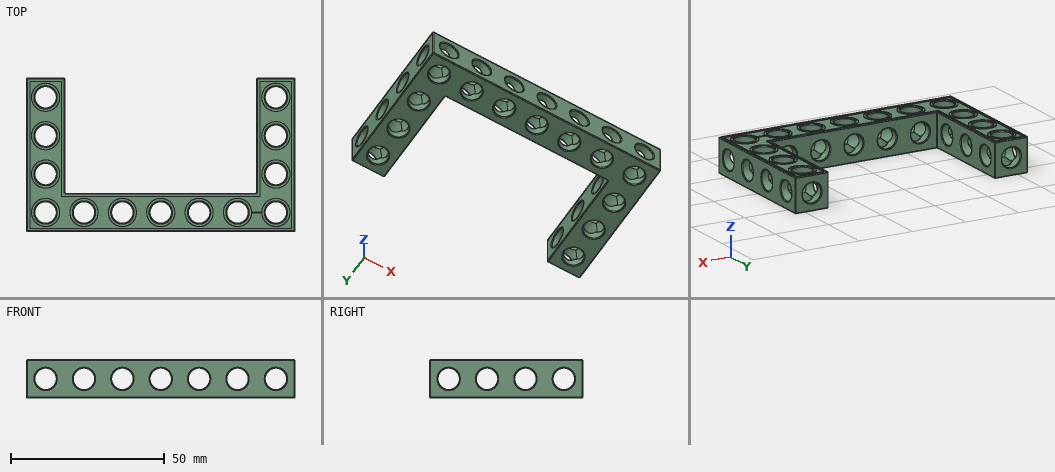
import cadquery as cq

length = 87.5
base_cells = 7
arm_cells = 4
pitch = length / base_cells
depth = arm_cells * pitch
height = pitch

hole_diameter = 7.0
hole_chamfer = 0.3
edge_chamfer = 0.3

ring_diameter = 9.2
rim_width = (ring_diameter - hole_diameter) / 2
recess_depth = 0.2

rib_width = 0.35


def centre(cell):
    """Distance from the frame's corner to a cell's centre along its row."""
    return (cell + 0.5) * pitch


arm_columns = (0, base_cells - 1)
arm_rows = range(1, arm_cells)
base_centres = [(centre(column), centre(0)) for column in range(base_cells)]
arm_centres = [(centre(column), centre(row)) for column in arm_columns for row in arm_rows]
cell_centres = base_centres + arm_centres


def frame_prism(inset, bottom, thickness):
    """U-shaped prism whose outline lies inside the frame outline by the given inset."""
    inner = pitch - inset
    points = [
        (inset, inset),
        (length - inset, inset),
        (length - inset, depth - inset),
        (length - inner, depth - inset),
        (length - inner, inner),
        (inner, inner),
        (inner, depth - inset),
        (inset, depth - inset),
    ]
    return cq.Workplane("XY", origin=(0, 0, bottom)).polyline(points).close().extrude(thickness)


def top_recess():
    """Panel removed from the top face, with the rings and the rib left standing."""
    floor = height - recess_depth
    islands = (
        cq.Workplane("XY", origin=(0, 0, floor))
        .pushPoints(cell_centres)
        .circle(ring_diameter / 2)
        .extrude(recess_depth)
    )
    rib_x = length - pitch
    rib = (
        cq.Workplane("XY", origin=(rib_x, centre(0), floor))
        .rect(pitch, rib_width)
        .extrude(recess_depth)
    )
    return frame_prism(rim_width, floor, recess_depth).cut(islands).cut(rib)


def hole_tool(start, direction, hole_length):
    """Cylinder from start along direction, flared at both ends to chamfer the hole's mouths."""
    radius = hole_diameter / 2
    mouth_radius = radius + hole_chamfer
    start = cq.Vector(*start)
    direction = cq.Vector(*direction)
    end = start + direction * hole_length
    bore = cq.Solid.makeCylinder(radius, hole_length, start, direction)
    entry = cq.Solid.makeCone(mouth_radius, radius, hole_chamfer, start, direction)
    leave = cq.Solid.makeCone(mouth_radius, radius, hole_chamfer, end, direction * -1)
    return bore.fuse(entry, leave)


def hole_tools():
    """Tools for every hole; the end rows run lengthwise through the base and the arms."""
    along_x = (1, 0, 0)
    along_y = (0, 1, 0)
    along_z = (0, 0, 1)
    middle = height / 2

    tools = [hole_tool((x, y, 0), along_z, height) for x, y in cell_centres]

    tools.append(hole_tool((0, centre(0), middle), along_x, length))
    for column in arm_columns:
        for row in arm_rows:
            tools.append(hole_tool((column * pitch, centre(row), middle), along_x, pitch))

    for column in range(base_cells):
        hole_length = depth if column in arm_columns else pitch
        tools.append(hole_tool((centre(column), 0, middle), along_y, hole_length))
    return tools


result = frame_prism(0, 0, height).edges().chamfer(edge_chamfer)
result = result.cut(top_recess())
for tool in hole_tools():
    result = result.cut(cq.Workplane(tool))